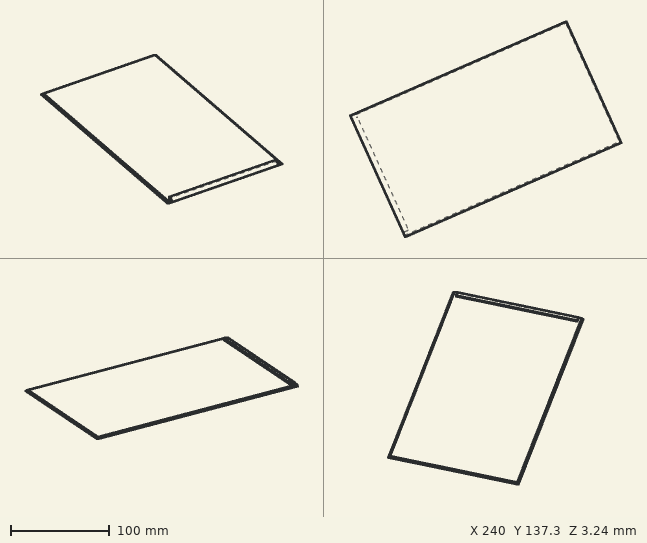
import math

import cadquery as cq

length = 240.03
width = 137.34
total_height = 3.24
plate_thickness = 1.48

side_bevel = 1.7
inner_end_bevel = 1.48
outer_end_bevel = 0.12

rail_width = 5.78
rail_round_width = 2.36
rail_side_gap = 4.75
rail_length = width - 2 * rail_side_gap
rail_outer_x = length - outer_end_bevel


def make_plate():
    """Plate whose four edges slope inward to the top face."""
    side_profile = [
        (-width / 2, 0),
        (width / 2, 0),
        (width / 2 - side_bevel, plate_thickness),
        (-width / 2 + side_bevel, plate_thickness),
    ]
    end_profile = [
        (0, 0),
        (length, 0),
        (length - outer_end_bevel, plate_thickness),
        (inner_end_bevel, plate_thickness),
    ]
    across = cq.Workplane("YZ").polyline(side_profile).close().extrude(length)
    along = cq.Workplane("XZ").polyline(end_profile).close().extrude(width / 2, both=True)
    return across.intersect(along)


def make_rail():
    """Rail with a flat top and a tangent arc down to the plate's +X top edge."""
    inner_x = rail_outer_x - rail_width
    flat_end_x = rail_outer_x - rail_round_width
    rail_height = total_height - plate_thickness
    round_radius = (rail_round_width**2 + rail_height**2) / (2 * rail_height)
    half_angle = math.atan2(rail_height, rail_round_width)
    round_middle = (
        flat_end_x + round_radius * math.sin(half_angle),
        total_height - round_radius * (1 - math.cos(half_angle)),
    )
    profile = (
        cq.Workplane("XZ")
        .moveTo(inner_x, plate_thickness)
        .lineTo(inner_x, total_height)
        .lineTo(flat_end_x, total_height)
        .threePointArc(round_middle, (rail_outer_x, plate_thickness))
        .close()
    )
    return profile.extrude(rail_length / 2, both=True)


result = make_plate().union(make_rail())